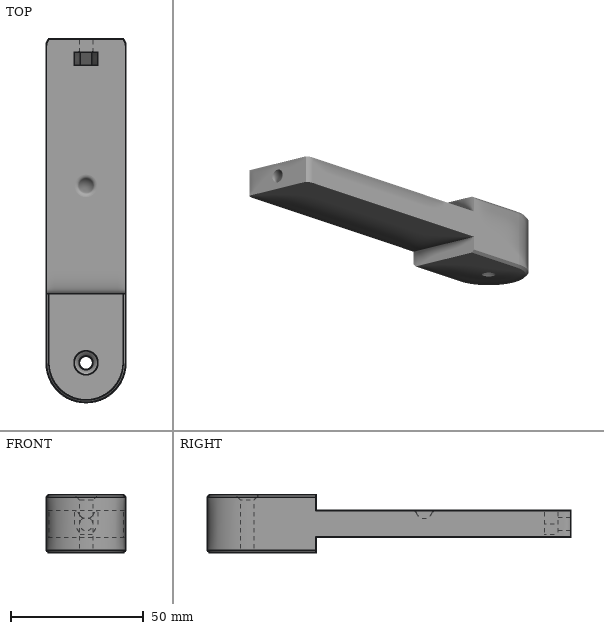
import cadquery as cq
import math

WIDTH = 30.0
LENGTH = 137.0
HEAD_HEIGHT = 22.0

ARM_LENGTH = 96.0
ARM_THICKNESS = 10.0
CORNER_RADIUS = 4.0
CORNER_INSET = 1.0
CORNER_LENGTH = math.sqrt(CORNER_RADIUS**2 - (CORNER_RADIUS - CORNER_INSET) ** 2)

HEAD_RADIUS = WIDTH / 2
HEAD_CHAMFER = 1.0
HEAD_BACK_Y = LENGTH - ARM_LENGTH - HEAD_RADIUS
ARM_END_Y = HEAD_BACK_Y + ARM_LENGTH
HEAD_TOP_Z = HEAD_HEIGHT / 2
ARM_TOP_Z = ARM_THICKNESS / 2

HOLE_DIAMETER = 5.0
COUNTERSINK_DIAMETER = 9.0
COUNTERSINK_ANGLE = 90.0

DIMPLE_Y = 66.65
BOWL_RADIUS = 3.0
RIM_RADIUS = 1.5

NUT_ACROSS_FLATS = 7.8
NUT_SIDE = NUT_ACROSS_FLATS / math.sqrt(3)
NUT_THICKNESS = 5.0
NUT_END_DISTANCE = 7.5
NUT_Y = ARM_END_Y - NUT_END_DISTANCE
SCREW_HOLE_DIAMETER = 5.0


def make_arm():
    """Flat bar with its two free-end corners rounded; its other end meets the head."""
    side_x = WIDTH / 2
    corner_y = ARM_END_Y - CORNER_LENGTH
    corner_x = side_x - CORNER_INSET
    return (
        cq.Workplane("XY")
        .workplane(offset=-ARM_TOP_Z)
        .moveTo(-side_x, HEAD_BACK_Y)
        .lineTo(side_x, HEAD_BACK_Y)
        .lineTo(side_x, corner_y)
        .radiusArc((corner_x, ARM_END_Y), -CORNER_RADIUS)
        .lineTo(-corner_x, ARM_END_Y)
        .radiusArc((-side_x, corner_y), -CORNER_RADIUS)
        .close()
        .extrude(ARM_THICKNESS)
    )


def make_head():
    """Thick round-ended block, chamfered along its sides and round end, top and bottom."""
    head = (
        cq.Workplane("XY")
        .workplane(offset=-HEAD_TOP_Z)
        .moveTo(-HEAD_RADIUS, HEAD_BACK_Y)
        .lineTo(-HEAD_RADIUS, 0)
        .threePointArc((0, -HEAD_RADIUS), (HEAD_RADIUS, 0))
        .lineTo(HEAD_RADIUS, HEAD_BACK_Y)
        .close()
        .extrude(HEAD_HEIGHT)
    )
    return head.faces("|Z").edges("not >Y").chamfer(HEAD_CHAMFER)


def cut_head_hole(part):
    """Through hole on the axis of the round end, countersunk from the top."""
    return (
        part.faces(">Z")
        .workplane(origin=(0, 0, HEAD_TOP_Z))
        .cskHole(HOLE_DIAMETER, COUNTERSINK_DIAMETER, COUNTERSINK_ANGLE)
    )


def cut_dimple(part):
    """Hemisphere sunk into the arm's top face, its circular edge rounded over."""
    centre = (0, DIMPLE_Y, ARM_TOP_Z)
    part = part.cut(cq.Workplane("XY").sphere(BOWL_RADIUS).translate(centre))
    rim = part.edges("%CIRCLE").edges(cq.NearestToPointSelector(centre))
    return rim.fillet(RIM_RADIUS)


def make_nut_cutter():
    """Lower half of a hexagon with a flat at the bottom, carried straight up through the top face."""
    half_floor = NUT_SIDE / 2
    floor_z = -NUT_ACROSS_FLATS / 2
    profile = cq.Workplane("XZ").polyline(
        [
            (-NUT_SIDE, ARM_TOP_Z),
            (-NUT_SIDE, 0),
            (-half_floor, floor_z),
            (half_floor, floor_z),
            (NUT_SIDE, 0),
            (NUT_SIDE, ARM_TOP_Z),
        ]
    )
    cutter = profile.close().extrude(NUT_THICKNESS / 2, both=True)
    return cutter.translate((0, NUT_Y, 0))


def make_screw_hole_cutter():
    """Horizontal cylinder at mid thickness, from the arm's end face to the nut pocket."""
    return (
        cq.Workplane("XZ", origin=(0, ARM_END_Y, 0))
        .circle(SCREW_HOLE_DIAMETER / 2)
        .extrude(NUT_END_DISTANCE)
    )


body = make_arm().union(make_head())
body = cut_head_hole(body)
body = cut_dimple(body)
body = body.cut(make_nut_cutter())
result = body.cut(make_screw_hole_cutter())